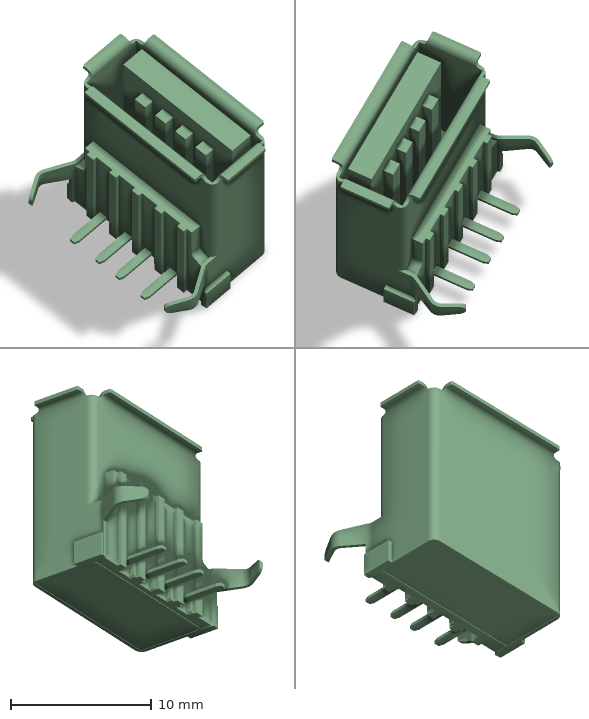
import cadquery as cq
import math

SHELL_X = 13.1
SHELL_Y = 5.68
SHEET = 0.28
CORNER_RADIUS = 0.58
SHELL_TOP = 13.59

TOTAL_HEIGHT = 14.2
X_LIP_OUTREACH = 0.67
Y_LIP_OUTREACH = 0.72
LIP_THICKNESS = 0.3
LIP_BEND_INNER = 0.5
LIP_CORNER_RADIUS = 0.11
X_LIP_HALF = 1.95
Y_LIP_HALF = 5.49
NOTCH_RADIUS = 0.44

BODY_BOTTOM = 0.05
FLOOR_TOP = 2.5
TONGUE_X = 10.83
TONGUE_BACK = 2.25
TONGUE_FRONT = 0.36
TONGUE_TOP = 13.73
BLOCK_FRONT = -3.68
BLOCK_TOP = 7.61
BLOCK_HALF_TOP = 5.3
BLOCK_HALF_BASE = 6.33
SHOULDER_INNER = 4.77
SHOULDER_OUTER = 4.37
SHOULDER_FILLET = 0.39

RIB_COUNT = 5
RIB_PITCH = 2.25
RIB_WIDTH = 0.67
RIB_FRONT = -4.01

CONTACT_XS = (-3.01, -1.0, 1.0, 3.01)
CONTACT_WIDTH = 1.03
CONTACT_FRONT = -0.4
CONTACT_TOP = 12.07

PIN_XS = (-3.5, -1.0, 1.0, 3.5)
PIN_WIDTH = 0.67
PIN_TIP_WIDTH = 0.4
PIN_BOTTOM = 0.92
PIN_THICKNESS = 0.25
PIN_TAPER_START = -6.49
PIN_END = -6.86
OPENING_XS = (-3.4, -0.98, 0.98, 3.4)
OPENING_WIDTH = 1.09
OPENING_TOP = 1.19
OPENING_DEPTH = 0.4
OPENING_FLARE = 0.14

WALL_TOP = 4.66
WALL_FRONT = -3.87
WALL_START = -SHELL_Y / 2 + CORNER_RADIUS
ARM_ANGLE = 30.0
ARM_ROOT_Y = -3.54
ARM_HALF_SPAN = 7.8
ARM_ROOT_RADIUS = 0.72
ARM_BEND_RADIUS = 0.94
ARM_END = -7.94
ARM_ROOT_BOTTOM = 2.87
ARM_TIP_RADIUS = 0.5

PAD_OUTER_X = 6.93
PAD_BACK = -1.39
PAD_FRONT = -3.84
PAD_TOP = 1.83


def block(x_range, y_range, z_range):
    """Axis-aligned box given by its limits."""
    sizes = [high - low for low, high in (x_range, y_range, z_range)]
    corner = (x_range[0], y_range[0], z_range[0])
    return cq.Workplane("XY").box(*sizes, centered=False).translate(corner)


def tube():
    outer = cq.Workplane("XY").rect(SHELL_X, SHELL_Y).extrude(SHELL_TOP)
    outer = outer.edges("|Z").fillet(CORNER_RADIUS)
    inner = cq.Workplane("XY").rect(SHELL_X - 2 * SHEET, SHELL_Y - 2 * SHEET).extrude(SHELL_TOP)
    return outer.cut(inner)


def lip(wall_distance, outreach, half_length):
    """Flared lip on the wall facing +X whose outer face is at X = wall_distance."""
    inside = wall_distance - SHEET
    tip = wall_distance + outreach
    underside = TOTAL_HEIGHT - LIP_THICKNESS
    bend_outer = LIP_BEND_INNER - SHEET
    diagonal = math.sqrt(0.5)
    bend_x = inside + LIP_BEND_INNER
    bend_z = TOTAL_HEIGHT - LIP_BEND_INNER
    blank_half = half_length + NOTCH_RADIUS
    flare = (
        cq.Workplane("XZ")
        .moveTo(inside, SHELL_TOP)
        .lineTo(inside, bend_z)
        .threePointArc(
            (bend_x - LIP_BEND_INNER * diagonal, bend_z + LIP_BEND_INNER * diagonal),
            (bend_x, TOTAL_HEIGHT),
        )
        .lineTo(tip, TOTAL_HEIGHT)
        .lineTo(tip, underside)
        .lineTo(wall_distance + bend_outer, underside)
        .threePointArc(
            (
                wall_distance + bend_outer * (1 - diagonal),
                underside - bend_outer * (1 - diagonal),
            ),
            (wall_distance, underside - bend_outer),
        )
        .lineTo(wall_distance, SHELL_TOP)
        .close()
        .extrude(blank_half, both=True)
    )
    sag = NOTCH_RADIUS * (1 - diagonal)
    outline = (
        cq.Workplane("YZ")
        .moveTo(-blank_half, SHELL_TOP)
        .threePointArc(
            (-blank_half + NOTCH_RADIUS - sag, SHELL_TOP + sag),
            (-half_length, SHELL_TOP + NOTCH_RADIUS),
        )
        .lineTo(-half_length, TOTAL_HEIGHT)
        .lineTo(half_length, TOTAL_HEIGHT)
        .lineTo(half_length, SHELL_TOP + NOTCH_RADIUS)
        .threePointArc((blank_half - NOTCH_RADIUS + sag, SHELL_TOP + sag), (blank_half, SHELL_TOP))
        .close()
        .extrude(tip)
    )
    trimmed = flare.intersect(outline)
    return trimmed.faces(">X").edges("|Z").fillet(LIP_CORNER_RADIUS)


def plastic_body():
    inner_x = SHELL_X / 2 - SHEET
    inner_y = SHELL_Y / 2 - SHEET
    floor = block((-inner_x, inner_x), (-inner_y, inner_y), (BODY_BOTTOM, FLOOR_TOP))
    half_tongue = TONGUE_X / 2
    tongue = block((-half_tongue, half_tongue), (TONGUE_FRONT, TONGUE_BACK), (BODY_BOTTOM, TONGUE_TOP))
    body = floor.union(tongue)
    half_contact = CONTACT_WIDTH / 2
    for x in CONTACT_XS:
        contact_x = (x - half_contact, x + half_contact)
        body = body.union(block(contact_x, (CONTACT_FRONT, TONGUE_FRONT), (BODY_BOTTOM, CONTACT_TOP)))
    return body


def front_block():
    """Block on the -Y side: a narrow upper part on sloping shoulders, with ribs and pin openings."""
    back = -SHELL_Y / 2 + SHEET
    outline = [
        (-BLOCK_HALF_BASE, BODY_BOTTOM),
        (-BLOCK_HALF_BASE, SHOULDER_OUTER),
        (-BLOCK_HALF_TOP, SHOULDER_INNER),
        (-BLOCK_HALF_TOP, BLOCK_TOP),
        (BLOCK_HALF_TOP, BLOCK_TOP),
        (BLOCK_HALF_TOP, SHOULDER_INNER),
        (BLOCK_HALF_BASE, SHOULDER_OUTER),
        (BLOCK_HALF_BASE, BODY_BOTTOM),
    ]
    solid = (
        cq.Workplane("XZ", origin=(0, back, 0)).polyline(outline).close().extrude(back - BLOCK_FRONT)
    )
    for x in (-BLOCK_HALF_TOP, BLOCK_HALF_TOP):
        corner = (x, (back + BLOCK_FRONT) / 2, SHOULDER_INNER)
        solid = solid.edges(cq.selectors.NearestToPointSelector(corner)).fillet(SHOULDER_FILLET)

    for index in range(RIB_COUNT):
        x = (index - (RIB_COUNT - 1) / 2) * RIB_PITCH
        rib_x = (x - RIB_WIDTH / 2, x + RIB_WIDTH / 2)
        solid = solid.union(block(rib_x, (RIB_FRONT, BLOCK_FRONT), (BODY_BOTTOM, BLOCK_TOP)))

    half = OPENING_WIDTH / 2
    flare_top = BODY_BOTTOM + OPENING_FLARE
    for x in OPENING_XS:
        opening = (
            cq.Workplane("XZ", origin=(x, BLOCK_FRONT + OPENING_DEPTH, 0))
            .moveTo(-half - OPENING_FLARE, BODY_BOTTOM)
            .lineTo(-half, flare_top)
            .lineTo(-half, OPENING_TOP)
            .lineTo(half, OPENING_TOP)
            .lineTo(half, flare_top)
            .lineTo(half + OPENING_FLARE, BODY_BOTTOM)
            .close()
            .extrude(OPENING_DEPTH)
        )
        solid = solid.cut(opening)
    return solid


def pin(x):
    root = -SHELL_Y / 2
    half = PIN_WIDTH / 2
    half_tip = PIN_TIP_WIDTH / 2
    outline = [
        (x - half, root),
        (x - half, PIN_TAPER_START),
        (x - half_tip, PIN_END),
        (x + half_tip, PIN_END),
        (x + half, PIN_TAPER_START),
        (x + half, root),
    ]
    plane = cq.Workplane("XY", origin=(0, 0, PIN_BOTTOM))
    return plane.polyline(outline).close().extrude(PIN_THICKNESS)


def side_wall():
    """Side wall on the +X side, running forward into the V-shaped spring arm, with its pad."""
    slope = math.radians(ARM_ANGLE)
    wall_outer = SHELL_X / 2
    wall_inner = wall_outer - SHEET
    apex_outer = ARM_HALF_SPAN + ARM_BEND_RADIUS * (1 / math.cos(slope) - 1)
    apex_inner = apex_outer - SHEET / math.cos(slope)
    root_inner_y = ARM_ROOT_Y - SHEET * math.tan(slope / 2)
    apex_y = ARM_ROOT_Y - (apex_outer - wall_outer) / math.tan(slope)
    tip_outer_x = apex_outer - (apex_y - ARM_END) * math.tan(slope)
    tip_inner = (tip_outer_x - SHEET * math.cos(slope), ARM_END + SHEET * math.sin(slope))
    strip = (
        cq.Workplane("XY")
        .polyline(
            [
                (wall_outer, WALL_START),
                (wall_outer, ARM_ROOT_Y),
                (apex_outer, apex_y),
                (tip_outer_x, ARM_END),
                tip_inner,
                (apex_inner, apex_y),
                (wall_inner, root_inner_y),
                (wall_inner, WALL_START),
            ]
        )
        .close()
        .extrude(WALL_TOP)
    )
    bends = (
        (apex_outer, apex_y, ARM_BEND_RADIUS),
        (apex_inner, apex_y, ARM_BEND_RADIUS - SHEET),
        (wall_outer, ARM_ROOT_Y, ARM_ROOT_RADIUS),
        (wall_inner, root_inner_y, ARM_ROOT_RADIUS + SHEET),
    )
    for x, y, radius in bends:
        bend_edge = cq.selectors.NearestToPointSelector((x, y, WALL_TOP / 2))
        strip = strip.edges(bend_edge).fillet(radius)

    arm_mid = (WALL_TOP + ARM_ROOT_BOTTOM) / 2
    tip_y = ARM_END + ARM_TIP_RADIUS
    outline = (
        cq.Workplane("YZ")
        .moveTo(WALL_START, 0)
        .lineTo(WALL_START, WALL_TOP)
        .lineTo(WALL_FRONT, WALL_TOP)
        .lineTo(tip_y, arm_mid + ARM_TIP_RADIUS)
        .threePointArc((ARM_END, arm_mid), (tip_y, arm_mid - ARM_TIP_RADIUS))
        .lineTo(WALL_FRONT, ARM_ROOT_BOTTOM)
        .lineTo(WALL_FRONT, 0)
        .close()
        .extrude(apex_outer)
    )
    pad = block((wall_outer, PAD_OUTER_X), (PAD_FRONT, PAD_BACK), (0, PAD_TOP))
    return strip.intersect(outline).union(pad)


result = tube()

x_lip = lip(SHELL_X / 2, X_LIP_OUTREACH, X_LIP_HALF)
y_lip = lip(SHELL_Y / 2, Y_LIP_OUTREACH, Y_LIP_HALF)
for angle in (0, 180):
    result = result.union(x_lip.rotate((0, 0, 0), (0, 0, 1), angle))
    result = result.union(y_lip.rotate((0, 0, 0), (0, 0, 1), angle + 90))

result = result.union(plastic_body()).union(front_block())

for pin_x in PIN_XS:
    result = result.union(pin(pin_x))

right_wall = side_wall()
result = result.union(right_wall).union(right_wall.mirror("YZ"))